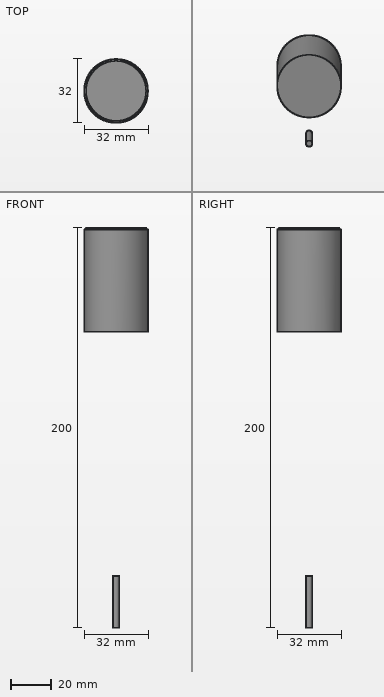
import cadquery as cq

total_height = 200.0

body_diameter = 32.0
body_height = 52.0
top_chamfer = 1.0

pin_diameter = 3.2
pin_length = 26.0

bottom_z = -total_height / 2
body_bottom_z = bottom_z + total_height - body_height


def make_cylinder_body():
    """Large cylinder with a chamfered top edge."""
    return (
        cq.Workplane("XY")
        .workplane(offset=body_bottom_z)
        .circle(body_diameter / 2)
        .extrude(body_height)
        .faces(">Z")
        .edges()
        .chamfer(top_chamfer)
    )


def make_pin():
    """Plain slender pin on the same axis, well below the cylinder."""
    return (
        cq.Workplane("XY")
        .workplane(offset=bottom_z)
        .circle(pin_diameter / 2)
        .extrude(pin_length)
    )


cylinder_body = make_cylinder_body()
pin = make_pin()

result = cq.Compound.makeCompound([cylinder_body.val(), pin.val()])